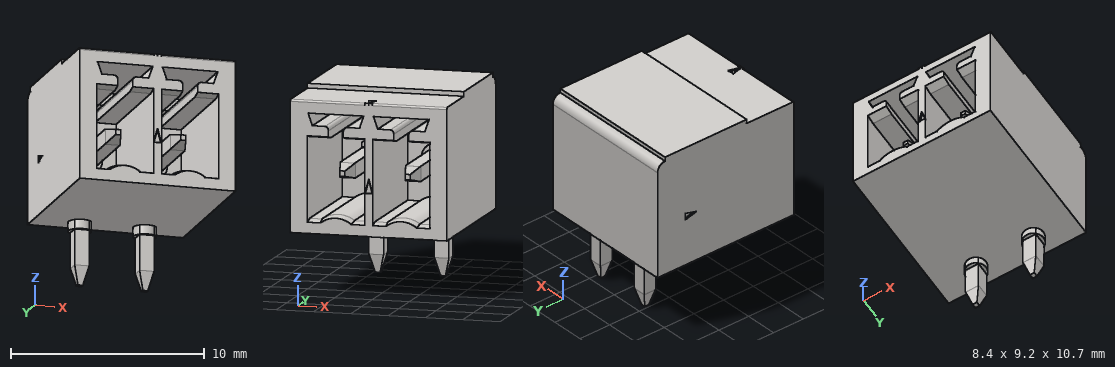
import cadquery as cq


TOTAL_HEIGHT = 10.65
HOUSING_WIDTH = 8.4
HOUSING_DEPTH = 9.2
HOUSING_HEIGHT = 7.25
PAD_HEIGHT = 0.25
PAD_FRONT = 3.21
REAR_EDGE_RADIUS = 0.5
PAD_REAR = HOUSING_DEPTH - REAR_EDGE_RADIUS
FRONT_EDGE_RADIUS = 0.1
LEDGE_HEIGHT = HOUSING_HEIGHT - PAD_HEIGHT

PITCH = 3.5
CONTACT_XS = (-PITCH / 2, PITCH / 2)
CONTACT_Z = 3.0
CONTACT_SIZE = 0.8
CONTACT_TIP_SIZE = 0.28
CONTACT_TAPER = 1.0
BLADE_TIP_Y = 1.22
SOLDER_PIN_INSET = 1.21
SOLDER_PIN_Y = HOUSING_DEPTH - SOLDER_PIN_INSET
SOLDER_PIN_FRONT = SOLDER_PIN_Y - CONTACT_SIZE / 2
SOLDER_PIN_TOP = CONTACT_Z + CONTACT_SIZE / 2
SOLDER_PIN_BOTTOM = HOUSING_HEIGHT - TOTAL_HEIGHT

MARKER_LENGTH = 0.73
MARKER_WIDTH = 0.39
MARKER_DEPTH = 0.1
SIDE_MARKER_INSET = 2.61
SIDE_MARKER_TIP_Y = HOUSING_DEPTH - SIDE_MARKER_INSET

CAVITY_WIDTH = 3.07
CAVITY_DEPTH = SIDE_MARKER_TIP_Y
CAVITY_FLOOR = 0.72
CAVITY_CEILING = 5.01
MOUTH_FLARE = 0.13
MOUTH_DEPTH = 0.48
RIB_RADIUS = 1.46
RIB_AXIS_Z = -0.45

SLOT_SETBACK = 1.0
SLOT_DEPTH = CAVITY_DEPTH - SLOT_SETBACK
SLOT_TOP = 6.33
SLOT_BOTTOM = 5.68
SLOT_TOP_WIDTH = 2.98
SLOT_BOTTOM_WIDTH = 2.52
NECK_WIDTH = 0.81
NECK_EDGE_RADIUS = 0.2

BLADE_COLLAR_RADIUS = 0.8
COLLAR_FLAT_OFFSET = 0.49
SOLDER_COLLAR_RADIUS = 0.61
SOLDER_COLLAR_HEIGHT = 0.49


def tapered_bar(length):
    """Square bar from the origin along +Z, its first stretch widening from the blunt tip."""
    tip = (
        cq.Workplane("XY")
        .rect(CONTACT_TIP_SIZE, CONTACT_TIP_SIZE)
        .workplane(offset=CONTACT_TAPER)
        .rect(CONTACT_SIZE, CONTACT_SIZE)
        .loft(ruled=True)
    )
    shank = (
        cq.Workplane("XY", origin=(0, 0, CONTACT_TAPER))
        .rect(CONTACT_SIZE, CONTACT_SIZE)
        .extrude(length - CONTACT_TAPER)
    )
    return tip.union(shank)


def make_blade(x):
    """Mating contact, ending against the front of its solder pin."""
    bar = tapered_bar(SOLDER_PIN_FRONT - BLADE_TIP_Y)
    return bar.rotate((0, 0, 0), (1, 0, 0), -90).translate((x, BLADE_TIP_Y, CONTACT_Z))


def make_solder_pin(x):
    """Vertical contact, from its tip up to the top of the blade."""
    bar = tapered_bar(SOLDER_PIN_TOP - SOLDER_PIN_BOTTOM)
    return bar.translate((x, SOLDER_PIN_Y, SOLDER_PIN_BOTTOM))


def collar_blank(x):
    """Disc set in the rear wall of a cavity; the first one has a flat on its outer side."""
    length = SOLDER_PIN_FRONT - CAVITY_DEPTH
    plane = cq.Workplane("XZ", origin=(x, CAVITY_DEPTH, CONTACT_Z))
    disc = plane.circle(BLADE_COLLAR_RADIUS).extrude(-length)
    if x == CONTACT_XS[0]:
        keep_width = 2 * BLADE_COLLAR_RADIUS
        keep = (
            plane.center(keep_width / 2 - COLLAR_FLAT_OFFSET, 0)
            .rect(keep_width, keep_width)
            .extrude(-length)
        )
        disc = disc.intersect(keep)
    return disc


def make_blade_collar(x):
    return collar_blank(x).cut(make_blade(x))


def make_solder_collar(x):
    """Ring around the solder pin, under the housing."""
    return (
        cq.Workplane("XY", origin=(x, SOLDER_PIN_Y, -SOLDER_COLLAR_HEIGHT))
        .circle(SOLDER_COLLAR_RADIUS)
        .rect(CONTACT_SIZE, CONTACT_SIZE)
        .extrude(SOLDER_COLLAR_HEIGHT)
    )


def housing_block():
    """Stepped block with a rounded rear edge."""
    return (
        cq.Workplane("YZ", origin=(-HOUSING_WIDTH / 2, 0, 0))
        .lineTo(HOUSING_DEPTH, 0)
        .lineTo(HOUSING_DEPTH, LEDGE_HEIGHT - REAR_EDGE_RADIUS)
        .radiusArc((PAD_REAR, LEDGE_HEIGHT), -REAR_EDGE_RADIUS)
        .lineTo(PAD_REAR, HOUSING_HEIGHT)
        .lineTo(PAD_FRONT, HOUSING_HEIGHT)
        .lineTo(PAD_FRONT, LEDGE_HEIGHT)
        .lineTo(0, LEDGE_HEIGHT)
        .close()
        .extrude(HOUSING_WIDTH)
    )


def front_edge_rounding(side):
    """Waste removed to round one half of the front top edge, stopping beside the top triangle."""
    length = (HOUSING_WIDTH - MARKER_WIDTH) / 2
    return (
        cq.Workplane("YZ", origin=(side * HOUSING_WIDTH / 2, 0, LEDGE_HEIGHT))
        .lineTo(FRONT_EDGE_RADIUS, 0)
        .radiusArc((0, -FRONT_EDGE_RADIUS), -FRONT_EDGE_RADIUS)
        .close()
        .extrude(-side * length)
    )


def floor_rib(x):
    """Round rib with a conical front end that follows the flared mouth."""
    return (
        cq.Workplane("XY", origin=(x, 0, RIB_AXIS_Z))
        .lineTo(RIB_RADIUS - MOUTH_FLARE, 0)
        .lineTo(RIB_RADIUS, MOUTH_DEPTH)
        .lineTo(RIB_RADIUS, CAVITY_DEPTH)
        .lineTo(0, CAVITY_DEPTH)
        .close()
        .revolve(360, (0, 0), (0, 1))
    )


def plug_cavity(x):
    """Plug opening, flared at floor and ceiling, less the rib along its floor."""
    opening = (
        cq.Workplane("YZ", origin=(x, 0, 0))
        .moveTo(0, CAVITY_FLOOR - MOUTH_FLARE)
        .lineTo(MOUTH_DEPTH, CAVITY_FLOOR)
        .lineTo(CAVITY_DEPTH, CAVITY_FLOOR)
        .lineTo(CAVITY_DEPTH, CAVITY_CEILING)
        .lineTo(MOUTH_DEPTH, CAVITY_CEILING)
        .lineTo(0, CAVITY_CEILING + MOUTH_FLARE)
        .close()
        .extrude(CAVITY_WIDTH / 2, both=True)
    )
    return opening.cut(floor_rib(x))


def latch_slot(x):
    """Dovetail slot above the cavity."""
    return (
        cq.Workplane("XZ", origin=(x, 0, 0))
        .moveTo(-SLOT_BOTTOM_WIDTH / 2, SLOT_BOTTOM)
        .lineTo(-SLOT_TOP_WIDTH / 2, SLOT_TOP)
        .lineTo(SLOT_TOP_WIDTH / 2, SLOT_TOP)
        .lineTo(SLOT_BOTTOM_WIDTH / 2, SLOT_BOTTOM)
        .close()
        .extrude(-SLOT_DEPTH)
    )


def slot_neck(x):
    """Passage from the slot down into the cavity, its upper edges rounded."""
    half_width = NECK_WIDTH / 2
    half_mouth = half_width + NECK_EDGE_RADIUS
    round_start = SLOT_BOTTOM - NECK_EDGE_RADIUS
    return (
        cq.Workplane("XZ", origin=(x, 0, 0))
        .moveTo(-half_width, CAVITY_CEILING)
        .lineTo(-half_width, round_start)
        .radiusArc((-half_mouth, SLOT_BOTTOM), -NECK_EDGE_RADIUS)
        .lineTo(half_mouth, SLOT_BOTTOM)
        .radiusArc((half_width, round_start), -NECK_EDGE_RADIUS)
        .lineTo(half_width, CAVITY_CEILING)
        .close()
        .extrude(-CAVITY_DEPTH)
    )


def marker(tip, pointing, outward):
    """Triangular recess with its tip at `tip`, sunk into the face whose normal is `outward`."""
    plane = cq.Plane(origin=tip, xDir=pointing, normal=outward)
    return (
        cq.Workplane(plane)
        .lineTo(-MARKER_LENGTH, MARKER_WIDTH / 2)
        .lineTo(-MARKER_LENGTH, -MARKER_WIDTH / 2)
        .close()
        .extrude(-MARKER_DEPTH)
    )


def make_housing():
    body = housing_block()
    for side in (-1, 1):
        body = body.cut(front_edge_rounding(side))
    for x in CONTACT_XS:
        body = body.cut(plug_cavity(x)).cut(latch_slot(x)).cut(slot_neck(x))
        body = body.cut(collar_blank(x)).cut(make_blade(x)).cut(make_solder_pin(x))
    body = body.cut(marker((0, 0, CONTACT_Z), (0, 0, 1), (0, -1, 0)))
    body = body.cut(marker((0, 0, LEDGE_HEIGHT), (0, -1, 0), (0, 0, 1)))
    side_tip = (-HOUSING_WIDTH / 2, SIDE_MARKER_TIP_Y, CONTACT_Z)
    return body.cut(marker(side_tip, (0, -1, 0), (-1, 0, 0)))


housing = make_housing()
blades = [make_blade(x).val() for x in CONTACT_XS]
blade_collars = [make_blade_collar(x).val() for x in CONTACT_XS]
solder_pins = [make_solder_pin(x).val() for x in CONTACT_XS]
solder_collars = [make_solder_collar(x).val() for x in CONTACT_XS]

result = cq.Compound.makeCompound(
    [housing.val(), *blades, *blade_collars, *solder_pins, *solder_collars]
)